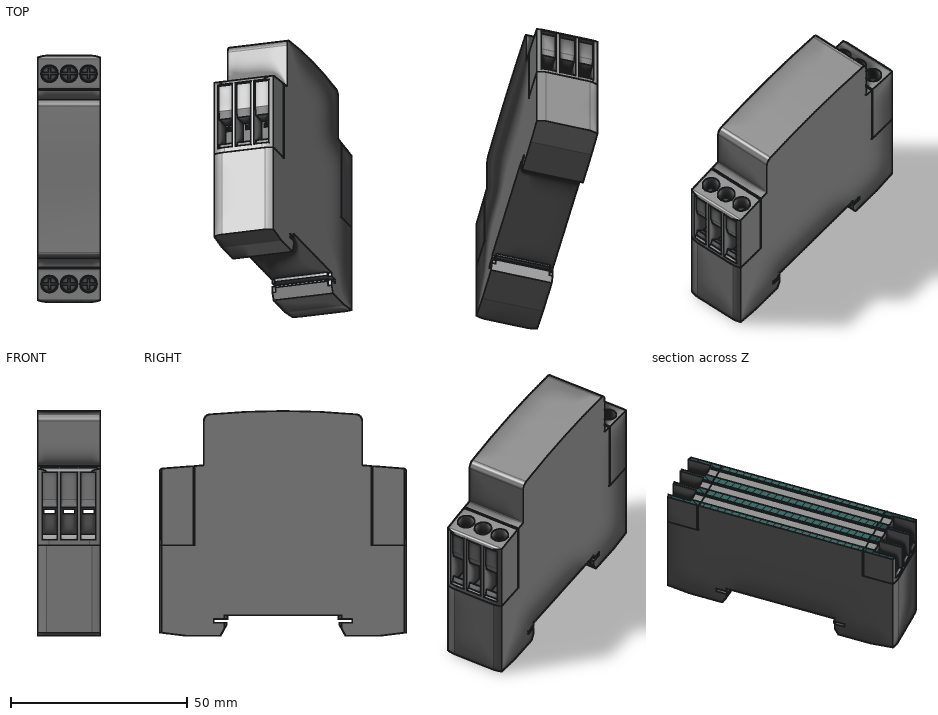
import cadquery as cq
import math

WIDTH = 17.8
LENGTH = 70.0
HEIGHT = 63.8
HALF_WIDTH = WIDTH / 2
HALF_LENGTH = LENGTH / 2

HOOD_HALF_LENGTH = 22.5
HOOD_DOME_RADIUS = 224.0
HOOD_EDGE_RADIUS = 1.9
HOOD_BASE_RADIUS = 0.2

SHOULDER_INNER_Z = 48.4
SHOULDER_OUTER_Z = 47.4
SHOULDER_EDGE_RADIUS = 1.0

FOOT_SLOPE_START_Y = 27.65
FOOT_END_Z = 0.9

END_FLAT_HALF_WIDTH = 5.7
END_ARC_RADIUS = 9.0
HOUSING_FLAT_HALF_WIDTH = 6.45

RAIL_CEILING_Z = 5.8
RAIL_HALF_LENGTH = 15.7
RAIL_SLOT_TOP_Z = 4.75
RAIL_SLOT_BOTTOM_Z = 3.7
RAIL_SLOT_HALF_LENGTH = 19.6
HOOK_TIP_Y = 15.95
HOOK_TIP_Z = 3.15
HOOK_FOOT_Y = 17.7
HOOK_SIDE_INSET = 1.05
HOOK_SIDE_Y = 16.6

TERMINAL_BOTTOM_Z = 25.7
TERMINAL_BACK_Y = 25.05
TERMINAL_RABBET_LENGTH = 0.4
TERMINAL_RABBET_DEPTH = 0.1

POLES = (-1, 0, 1)
POLE_PITCH = 5.5
MIDDLE_POCKET_WIDTH = 4.6
OUTER_POCKET_WIDTH = 4.35
POCKET_WALL = 1.0
POCKET_TOP_Z = 46.35
POCKET_FLOOR_Z = 27.15
POCKET_DEPTH = 1.1
LIP_TOP_Z = 38.8
LIP_BOTTOM_Z = 36.4
RIM_TOP_Z = 28.85
LIP_LEAN = 0.55
CAVITY_FLOOR_Z = 26.25
CAVITY_BACK_Y = 28.0

THROUGH_SLOT_WIDTH = 3.15
THROUGH_SLOT_BOTTOM_Z = 34.65
THROUGH_SLOT_HEIGHT = 1.2

SCREW_DIAMETER = 4.8
SCREW_Y = 29.8
SCREW_BOTTOM_Z = 39.2
SCREW_TOP_Z = 43.4
SCREW_CHAMFER = 0.3
DRIVE_WIDTH = 0.8
DRIVE_DEPTH = 0.7
DRIVE_SHORT_LENGTH = 3.0


def box(x_range, y_range, z_range):
    """Box between the given limits."""
    size = [high - low for low, high in (x_range, y_range, z_range)]
    corner = (x_range[0], y_range[0], z_range[0])
    return cq.Workplane("XY").box(*size, centered=False).translate(corner)


def full_width_box(y_range, z_range):
    """Box that spans the whole width of the part."""
    return box((-HALF_WIDTH, HALF_WIDTH), y_range, z_range)


def extrude_across(profile, width):
    """Extrude a closed YZ profile by width, centred on X = 0."""
    return profile.extrude(width / 2, both=True)


def mirrored_pair(front):
    """A feature at the -Y end and its mirror image at the +Y end."""
    return front, front.mirror("XZ")


def end_arc_y(x):
    """Distance of the rounded end from the middle plane at the given X."""
    return HALF_LENGTH - END_ARC_RADIUS + math.sqrt(END_ARC_RADIUS**2 - (x - END_FLAT_HALF_WIDTH) ** 2)


def side_profile_solid():
    dome_edge_z = HEIGHT - HOOD_DOME_RADIUS + math.sqrt(HOOD_DOME_RADIUS**2 - HOOD_HALF_LENGTH**2)
    profile = (
        cq.Workplane("YZ")
        .moveTo(-FOOT_SLOPE_START_Y, 0)
        .lineTo(-HALF_LENGTH, FOOT_END_Z)
        .lineTo(-HALF_LENGTH, SHOULDER_OUTER_Z)
        .lineTo(-HOOD_HALF_LENGTH, SHOULDER_INNER_Z)
        .lineTo(-HOOD_HALF_LENGTH, dome_edge_z)
        .threePointArc((0, HEIGHT), (HOOD_HALF_LENGTH, dome_edge_z))
        .lineTo(HOOD_HALF_LENGTH, SHOULDER_INNER_Z)
        .lineTo(HALF_LENGTH, SHOULDER_OUTER_Z)
        .lineTo(HALF_LENGTH, FOOT_END_Z)
        .lineTo(FOOT_SLOPE_START_Y, 0)
        .close()
    )
    solid = extrude_across(profile, WIDTH)
    for y, z, radius in (
        (HOOD_HALF_LENGTH, dome_edge_z, HOOD_EDGE_RADIUS),
        (HOOD_HALF_LENGTH, SHOULDER_INNER_Z, HOOD_BASE_RADIUS),
        (HALF_LENGTH, SHOULDER_OUTER_Z, SHOULDER_EDGE_RADIUS),
    ):
        for side in (-1, 1):
            solid = solid.edges(cq.NearestToPointSelector((0, side * y, z))).fillet(radius)
    return solid


def plan_solid():
    side_y = end_arc_y(HALF_WIDTH)
    arc_middle_x = (END_FLAT_HALF_WIDTH + HALF_WIDTH) / 2
    arc_middle_y = end_arc_y(arc_middle_x)
    return (
        cq.Workplane("XY")
        .moveTo(-END_FLAT_HALF_WIDTH, -HALF_LENGTH)
        .lineTo(END_FLAT_HALF_WIDTH, -HALF_LENGTH)
        .threePointArc((arc_middle_x, -arc_middle_y), (HALF_WIDTH, -side_y))
        .lineTo(HALF_WIDTH, side_y)
        .threePointArc((arc_middle_x, arc_middle_y), (END_FLAT_HALF_WIDTH, HALF_LENGTH))
        .lineTo(-END_FLAT_HALF_WIDTH, HALF_LENGTH)
        .threePointArc((-arc_middle_x, arc_middle_y), (-HALF_WIDTH, side_y))
        .lineTo(-HALF_WIDTH, -side_y)
        .threePointArc((-arc_middle_x, -arc_middle_y), (-END_FLAT_HALF_WIDTH, -HALF_LENGTH))
        .close()
        .extrude(HEIGHT)
    )


def through_slot(pole):
    """Slot of one pole, running the whole length of the part."""
    return box(
        (pole * POLE_PITCH - THROUGH_SLOT_WIDTH / 2, pole * POLE_PITCH + THROUGH_SLOT_WIDTH / 2),
        (-HALF_LENGTH, HALF_LENGTH),
        (THROUGH_SLOT_BOTTOM_Z, THROUGH_SLOT_BOTTOM_Z + THROUGH_SLOT_HEIGHT),
    )


def terminal_space():
    """Space at the -Y end that the terminal block takes out of the housing."""
    return full_width_box((-HALF_LENGTH, -TERMINAL_BACK_Y), (TERMINAL_BOTTOM_Z, HEIGHT))


def rail_recess():
    """Recess for the rail, with a slot behind each hook."""
    profile = (
        cq.Workplane("YZ")
        .polyline([
            (-HOOK_FOOT_Y, 0),
            (-HOOK_TIP_Y, HOOK_TIP_Z),
            (-HOOK_TIP_Y, RAIL_SLOT_BOTTOM_Z),
            (-RAIL_SLOT_HALF_LENGTH, RAIL_SLOT_BOTTOM_Z),
            (-RAIL_SLOT_HALF_LENGTH, RAIL_SLOT_TOP_Z),
            (-RAIL_HALF_LENGTH, RAIL_SLOT_TOP_Z),
            (-RAIL_HALF_LENGTH, RAIL_CEILING_Z),
            (0, RAIL_CEILING_Z),
            (0, 0),
        ])
        .close()
    )
    return extrude_across(profile, WIDTH)


def hook_side_relief(side):
    """Cut that sets the hook tip back from one side wall."""
    x_range = sorted((side * HALF_WIDTH, side * (HALF_WIDTH - HOOK_SIDE_INSET)))
    return box(x_range, (-HOOK_SIDE_Y, 0), (0, RAIL_CEILING_Z))


def end_flat():
    """Sliver that turns the middle of the end below the terminal into a wider flat."""
    flat_y = end_arc_y(HOUSING_FLAT_HALF_WIDTH)
    return full_width_box((-HALF_LENGTH, -flat_y), (0, TERMINAL_BOTTOM_Z))


def make_housing(envelope):
    housing = envelope
    front_cuts = [terminal_space(), end_flat(), rail_recess()]
    front_cuts += [hook_side_relief(side) for side in (-1, 1)]
    for front_cut in front_cuts:
        for cut in mirrored_pair(front_cut):
            housing = housing.cut(cut)
    for pole in POLES:
        housing = housing.cut(through_slot(pole))
    return housing


def wire_pocket(pole):
    """Shallow window in the end face, opening into a deeper cavity between two leaning lips."""
    width = OUTER_POCKET_WIDTH if pole else MIDDLE_POCKET_WIDTH
    centre_x = pole * (MIDDLE_POCKET_WIDTH / 2 + POCKET_WALL + OUTER_POCKET_WIDTH / 2)
    window_back_y = -HALF_LENGTH + POCKET_DEPTH
    lip_y = window_back_y + LIP_LEAN
    rim_back_y = lip_y + RIM_TOP_Z - CAVITY_FLOOR_Z
    profile = (
        cq.Workplane("YZ")
        .polyline([
            (-HALF_LENGTH, POCKET_FLOOR_Z),
            (-HALF_LENGTH, POCKET_TOP_Z),
            (window_back_y, POCKET_TOP_Z),
            (window_back_y, LIP_TOP_Z),
            (lip_y, LIP_BOTTOM_Z),
            (-CAVITY_BACK_Y, LIP_BOTTOM_Z),
            (-CAVITY_BACK_Y, CAVITY_FLOOR_Z),
            (rim_back_y, CAVITY_FLOOR_Z),
            (lip_y, RIM_TOP_Z),
            (window_back_y, POCKET_FLOOR_Z),
        ])
        .close()
    )
    return extrude_across(profile, width).translate((centre_x, 0, 0))


def screw_hole(pole):
    return (
        cq.Workplane("XY", origin=(pole * POLE_PITCH, -SCREW_Y, SCREW_BOTTOM_Z))
        .circle(SCREW_DIAMETER / 2)
        .extrude(HEIGHT - SCREW_BOTTOM_Z)
    )


def back_rabbet(envelope):
    """Shallow step around the top and sides of the block, along its back edge."""
    y_range = (-TERMINAL_BACK_Y - TERMINAL_RABBET_LENGTH, -TERMINAL_BACK_Y)
    strip = full_width_box(y_range, (TERMINAL_BOTTOM_Z, HEIGHT))
    inner_half_width = HALF_WIDTH - TERMINAL_RABBET_DEPTH
    core = box((-inner_half_width, inner_half_width), y_range, (TERMINAL_BOTTOM_Z, HEIGHT))
    lowered_envelope = envelope.translate((0, 0, -TERMINAL_RABBET_DEPTH))
    return strip.cut(core.intersect(lowered_envelope))


def make_terminal(envelope):
    """Terminal block at the -Y end."""
    terminal = envelope.intersect(terminal_space()).cut(back_rabbet(envelope))
    for pole in POLES:
        terminal = terminal.cut(wire_pocket(pole))
        terminal = terminal.cut(through_slot(pole))
        terminal = terminal.cut(screw_hole(pole))
    return terminal


def make_screw(pole):
    """Screw of one pole at the -Y end: full-width slot crossed by a shorter one."""
    floor_z = SCREW_TOP_Z - DRIVE_DEPTH
    drive = cq.Workplane("XY", origin=(0, 0, floor_z))
    long_slot = drive.rect(SCREW_DIAMETER, DRIVE_WIDTH).extrude(DRIVE_DEPTH)
    short_slot = drive.rect(DRIVE_WIDTH, DRIVE_SHORT_LENGTH).extrude(DRIVE_DEPTH)
    screw = (
        cq.Workplane("XY", origin=(0, 0, SCREW_BOTTOM_Z))
        .circle(SCREW_DIAMETER / 2)
        .extrude(SCREW_TOP_Z - SCREW_BOTTOM_Z)
        .faces(">Z")
        .chamfer(SCREW_CHAMFER)
        .cut(long_slot)
        .cut(short_slot)
    )
    return screw.translate((pole * POLE_PITCH, -SCREW_Y, 0))


envelope = side_profile_solid().intersect(plan_solid())
housing = make_housing(envelope)
terminals = mirrored_pair(make_terminal(envelope))
screws = [screw for pole in POLES for screw in mirrored_pair(make_screw(pole))]

bodies = [housing, *terminals, *screws]

result = cq.Compound.makeCompound([body.solids().val() for body in bodies])